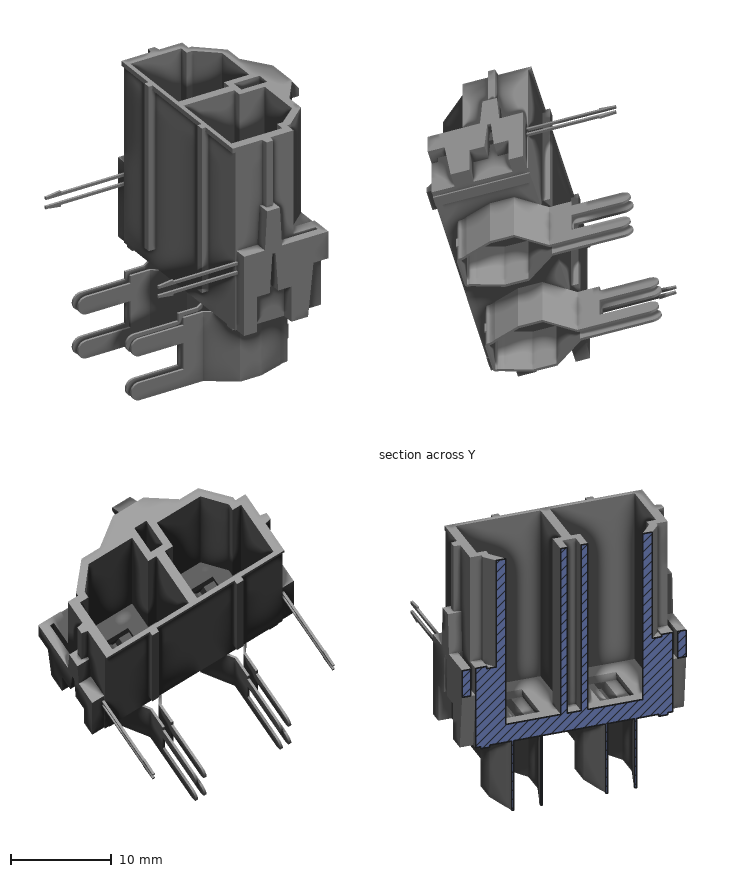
import cadquery as cq
import math


top_z = 28.6
base_z = 7.85
overall_width = 23.82
overall_depth = 22.4
latch_y = 13.27
tail_y = latch_y - overall_depth
pitch = 10.0

body_half = 10.5
body_rear_y = 9.87
floor_z = 9.9
shoulder_half = 9.3
shoulder_y = 6.78
corner_start_y = 7.15
corner_half = 6.9

cavity_front_y = 0.15
cavity_step_y = 6.05
cavity_rear_y = 9.0
cavity_inner, cavity_outer = 0.5, 9.52
cavity_key_inner, cavity_key_outer = 1.45, 8.52
cavity_bevel_y = 6.75
cavity_bevel_x = 6.6
core_width = 1.43
core_rear_y = 9.75

slot_width = 3.6
slot_front_y, slot_rear_y = 2.03, 7.05
slot_ledge = 0.2
slot_floor_z = 9.15
groove_top, groove_bottom = 1.2, 0.35
groove_floor_z = 8.45

rib_width = 0.8
rib_depth = 0.77
lip_depth = 0.31
lip_z = 28.05
side_rib_y = 3.6
side_rib_root, side_rib_tip = 1.0, 0.75
side_rib_half = 11.18

hump_root_half, hump_tip_half = 4.72, 1.8
hump_y = 11.98
hump_z = 26.1
hump_blend_radius = 2.0
hump_blend_y = 11.33
latch_width = 2.12
latch_bevel_z = 27.0

wing_half = overall_width / 2
wing_front_y, wing_rear_y = 0.15, 9.98
wing_z = 16.85
web_z = 16.6
tower_z = 21.22
tower_y = 3.58
tower_root, tower_tip = 2.0, 1.5
rear_cut_z = 13.79
rear_cut_top_y, rear_cut_bottom_y = 8.25, 7.6
window_front_y, window_rear_y = 1.63, 5.65
window_z = 11.85
taper_y = 3.63
taper_root, taper_tip = 0.97, 0.37
taper_mid_z, taper_top_z = 14.6, 16.22
taper_mid = taper_root + (taper_tip - taper_root) * (taper_mid_z - window_z) / (taper_top_z - window_z)
wing_slot_depth = 0.45
wing_slot_front_y, wing_slot_rear_y = 4.6, 9.32

rail_inner, rail_outer = 8.95, 9.98
rail_height = 0.23

sheet = 0.25
pin_center_z = 15.0
pin_inner, pin_outer, pin_barb = 0.37, 0.7, 0.9
barb_start_y, barb_end_y = -7.38, -8.87
pin_root_y = 1.43

blade_half = 0.63
flare_front_y, flare_rear_y = -0.75, 2.3
box_half = 2.7
taper_start_y, taper_end_y = 4.78, 7.45
taper_half = 1.85
rear_half = 1.65
bend_end_y = 8.05
bend_sag = 0.03
terminal_rear_y = 8.58
rear_corner_radius = 0.35
blade_front_y = -3.03
finger_height = 1.97
upper_finger_z = 5.0
tab_z, tab_height = 2.63, 1.6
tab_front_y = 8.35


def box(x0, x1, y0, y1, z0, z1):
    """Axis-aligned block between two opposite corners."""
    return cq.Workplane("XY").box(x1 - x0, y1 - y0, z1 - z0, centered=False).translate((x0, y0, z0))


def prism_z(points, z0, z1):
    """Vertical prism over an (x, y) outline."""
    return cq.Workplane("XY").workplane(offset=z0).polyline(points).close().extrude(z1 - z0)


def prism_x(points, x0, x1):
    """Prism along X over a (y, z) outline."""
    return cq.Workplane("YZ").workplane(offset=x0).polyline(points).close().extrude(x1 - x0)


def both_sides(shape):
    """The shape together with its mirror image across X = 0."""
    return shape.union(shape.mirror("YZ"))


def trapezoid(center, root, tip, low, high):
    """Symmetric outline narrowing from width root at low to width tip at high."""
    return [
        (center - root / 2, low),
        (center + root / 2, low),
        (center + tip / 2, high),
        (center - tip / 2, high),
    ]


def housing_shell():
    half_outline = [
        (body_half, 0),
        (body_half, shoulder_y),
        (shoulder_half, shoulder_y),
        (shoulder_half, corner_start_y),
        (corner_half, body_rear_y),
    ]
    outline = half_outline + [(-x, y) for x, y in reversed(half_outline)]
    shell = prism_z(outline, base_z, top_z)
    lip = box(-body_half, body_half, -lip_depth, 0, lip_z, top_z)
    web = box(-body_half, body_half, shoulder_y, wing_rear_y, base_z, web_z)
    return shell.union(lip).union(web)


def hump():
    outline = trapezoid(0, 2 * hump_root_half, 2 * hump_tip_half, body_rear_y, hump_y)
    blend_center_z = hump_z - hump_blend_radius
    run = hump_blend_y - body_rear_y
    blend_end_z = blend_center_z + math.sqrt(hump_blend_radius**2 - run**2)
    half_angle = math.asin(run / hump_blend_radius) / 2
    blend_mid = (
        hump_blend_y - hump_blend_radius * math.sin(half_angle),
        blend_center_z + hump_blend_radius * math.cos(half_angle),
    )
    side_profile = (
        cq.Workplane("YZ")
        .moveTo(body_rear_y, top_z)
        .lineTo(hump_y, top_z)
        .lineTo(hump_y, hump_z)
        .lineTo(hump_blend_y, hump_z)
        .threePointArc(blend_mid, (body_rear_y, blend_end_z))
        .close()
        .extrude(hump_root_half, both=True)
    )
    latch = prism_x(
        [(hump_y, top_z), (latch_y, latch_bevel_z), (latch_y, hump_z), (hump_y, hump_z)],
        -latch_width / 2,
        latch_width / 2,
    )
    return prism_z(outline, base_z, top_z).intersect(side_profile).union(latch)


def cavity():
    """Right-hand cavity with its contact slot and V-groove."""
    center = pitch / 2
    outline = [
        (cavity_inner, cavity_front_y),
        (cavity_outer, cavity_front_y),
        (cavity_outer, cavity_step_y),
        (cavity_key_outer, cavity_step_y),
        (cavity_key_outer, cavity_bevel_y),
        (cavity_bevel_x, cavity_rear_y),
        (cavity_key_inner, cavity_rear_y),
        (cavity_key_inner, cavity_step_y),
        (cavity_inner, cavity_step_y),
    ]
    slot_profile = trapezoid(
        (slot_front_y + slot_rear_y) / 2,
        slot_rear_y - slot_front_y - 2 * slot_ledge,
        slot_rear_y - slot_front_y,
        slot_floor_z,
        floor_z,
    )
    slot = prism_x(slot_profile, center - slot_width / 2, center + slot_width / 2)
    groove = (
        cq.Workplane("XZ")
        .polyline(trapezoid(center, groove_bottom, groove_top, groove_floor_z, slot_floor_z))
        .close()
        .extrude(-(slot_rear_y - slot_front_y - 2 * slot_ledge))
        .translate((0, slot_front_y + slot_ledge, 0))
    )
    return prism_z(outline, floor_z, top_z).union(slot).union(groove)


def core_pocket():
    return box(-core_width / 2, core_width / 2, cavity_bevel_y, core_rear_y, floor_z, top_z)


def front_rib():
    center = pitch / 2
    return box(center - rib_width / 2, center + rib_width / 2, -rib_depth, 0, floor_z, top_z)


def side_rib():
    return prism_z(
        [
            (body_half, side_rib_y - side_rib_root / 2),
            (side_rib_half, side_rib_y - side_rib_tip / 2),
            (side_rib_half, side_rib_y + side_rib_tip / 2),
            (body_half, side_rib_y + side_rib_root / 2),
        ],
        wing_z,
        top_z,
    )


def rail():
    return box(rail_inner, rail_outer, 0, wing_rear_y, base_z - rail_height, base_z)


def wing():
    plate = box(body_half, wing_half, wing_front_y, wing_rear_y, base_z, wing_z)
    shelf = box(shoulder_half, body_half, shoulder_y, wing_rear_y, base_z, wing_z)
    tower = prism_x(trapezoid(tower_y, tower_root, tower_tip, wing_z, tower_z), body_half, wing_half)
    rear_cut = prism_x(
        [
            (wing_rear_y, base_z),
            (rear_cut_bottom_y, base_z),
            (rear_cut_top_y, rear_cut_z),
            (wing_rear_y, rear_cut_z),
        ],
        body_half,
        wing_half,
    )
    window = box(body_half, wing_half, window_front_y, window_rear_y, base_z, window_z)
    taper_low = prism_x(
        trapezoid(taper_y, taper_root, taper_mid, window_z, taper_mid_z), body_half, wing_half
    )
    taper_high = prism_x(
        trapezoid(taper_y, taper_mid, taper_tip, taper_mid_z, taper_top_z),
        body_half + wing_slot_depth,
        wing_half,
    )
    top_slot = box(
        body_half,
        body_half + wing_slot_depth,
        wing_slot_front_y,
        wing_slot_rear_y,
        rear_cut_z,
        wing_z,
    )
    solid = plate.union(shelf).union(tower)
    for void in (rear_cut, window, taper_low, taper_high, top_slot):
        solid = solid.cut(void)
    return solid


def board_lock():
    """Pair of flat barbed pins beside one end of the housing."""
    pins = cq.Workplane("XY")
    for side in (1, -1):
        outline = [
            (pin_root_y, pin_center_z + side * pin_inner),
            (tail_y, pin_center_z + side * pin_inner),
            (tail_y, pin_center_z + side * pin_outer),
            (barb_end_y, pin_center_z + side * pin_outer),
            (barb_start_y, pin_center_z + side * pin_barb),
            (barb_start_y, pin_center_z + side * pin_outer),
            (pin_root_y, pin_center_z + side * pin_outer),
        ]
        pins = pins.union(prism_x(outline, body_half, body_half + sheet))
    return pins


def finger(z0):
    """Round-ended solder tail reaching forward from the blade."""
    radius = finger_height / 2
    return (
        cq.Workplane("YZ")
        .moveTo(blade_front_y, z0)
        .lineTo(tail_y + radius, z0)
        .threePointArc((tail_y, z0 + radius), (tail_y + radius, z0 + finger_height))
        .lineTo(blade_front_y, z0 + finger_height)
        .close()
        .extrude(sheet)
        .translate((blade_half - sheet, 0, 0))
    )


def terminal_wrap(inset):
    """Solid within the folded sheet, shrunk inward by the given inset."""
    bend_mid = (
        (taper_half + rear_half) / 2 - bend_sag - inset,
        (taper_end_y + bend_end_y) / 2,
    )
    radius = rear_corner_radius - inset
    corner_x = rear_half - rear_corner_radius
    corner_y = terminal_rear_y - rear_corner_radius
    corner_mid = (corner_x + radius * math.sqrt(0.5), corner_y + radius * math.sqrt(0.5))
    return (
        cq.Workplane("XY")
        .moveTo(blade_half - inset, blade_front_y)
        .lineTo(blade_half - inset, flare_front_y)
        .lineTo(box_half - inset, flare_rear_y)
        .lineTo(box_half - inset, taper_start_y)
        .lineTo(taper_half - inset, taper_end_y)
        .threePointArc(bend_mid, (rear_half - inset, bend_end_y))
        .lineTo(rear_half - inset, corner_y)
        .threePointArc(corner_mid, (corner_x, terminal_rear_y - inset))
        .lineTo(0, terminal_rear_y - inset)
        .lineTo(0, blade_front_y)
        .close()
        .extrude(base_z)
    )


def terminal():
    sheet_half = terminal_wrap(0).cut(terminal_wrap(sheet))
    for z0 in (0, upper_finger_z):
        sheet_half = sheet_half.union(finger(z0))
    tab = box(-rear_half, rear_half, tab_front_y, terminal_rear_y, tab_z, tab_z + tab_height)
    return both_sides(sheet_half).union(tab)


result = housing_shell().union(hump())
for feature in (wing(), side_rib(), front_rib(), rail()):
    result = result.union(both_sides(feature))
result = result.cut(both_sides(cavity())).cut(core_pocket())
result = result.union(both_sides(board_lock()))
for x in (-pitch / 2, pitch / 2):
    result = result.union(terminal().translate((x, 0, 0)))